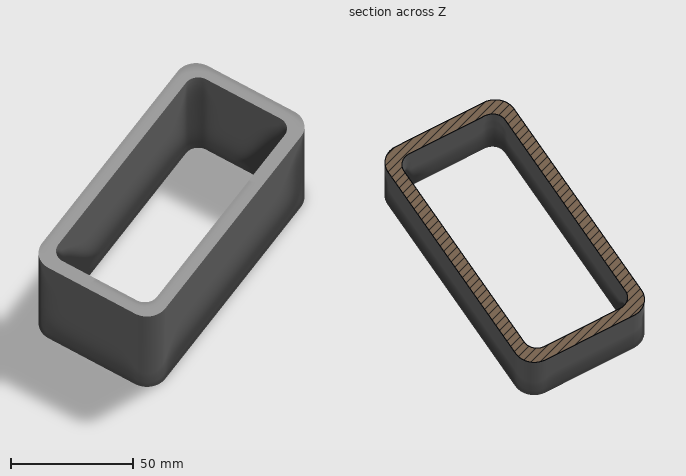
import cadquery as cq

width = 60.0
depth = 120.0
length = 50.0
wall = 6.0
outer_radius = 1.5 * wall
inner_radius = wall


def rounded_block(size_x, size_y, corner_radius):
    """Block of the full length with its four upright edges rounded."""
    block = cq.Workplane("XY").rect(size_x, size_y).extrude(length)
    return block.edges("|Z").fillet(corner_radius)


outer = rounded_block(width, depth, outer_radius)
bore = rounded_block(width - 2 * wall, depth - 2 * wall, inner_radius)

result = outer.cut(bore)